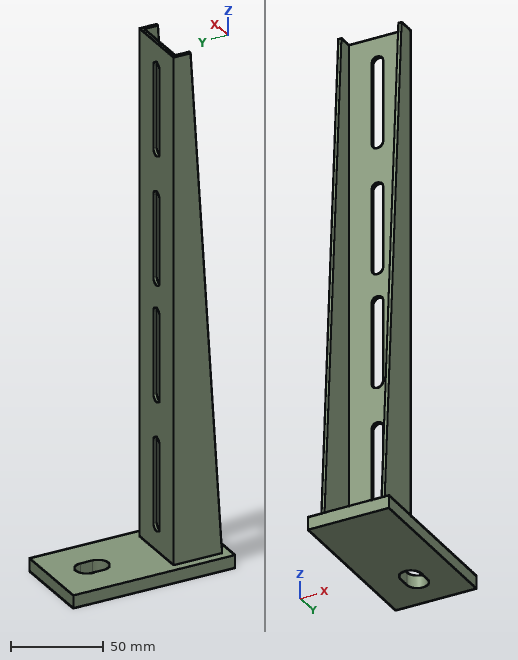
import cadquery as cq

plate_width = 50.0
plate_depth = 100.0
plate_thickness = 8.0
bolt_slot_width = 12.7
bolt_slot_length = 20.0
bolt_slot_from_back = 25.0

total_height = 318.0
channel_height = total_height - plate_thickness
channel_width = 39.0
wall = 2.0
flange_depth_bottom = 30.0
flange_depth_top = 10.5
channel_front_margin = 5.0
channel_back_y = -plate_depth / 2 + channel_front_margin + flange_depth_bottom

web_slot_width = 7.0
web_slot_length = 57.2
slot_pair_pitch = 79.0
inner_slot_pitch = 71.2


def make_base_plate():
    """Flat plate with its bottom at Z = 0 and a bolt slot along Y near the back edge."""
    plate = cq.Workplane("XY").box(
        plate_width, plate_depth, plate_thickness, centered=(True, True, False)
    )
    bolt_slot = (
        cq.Workplane("XY")
        .center(0, plate_depth / 2 - bolt_slot_from_back)
        .slot2D(bolt_slot_length, bolt_slot_width, 90)
        .extrude(plate_thickness)
    )
    return plate.cut(bolt_slot)


def make_channel_blank():
    """Tapered wedge hollowed out to leave the web and two side flanges."""
    wedge = (
        cq.Workplane("YZ")
        .moveTo(channel_back_y, plate_thickness)
        .lineTo(channel_back_y, total_height)
        .lineTo(channel_back_y - flange_depth_top, total_height)
        .lineTo(channel_back_y - flange_depth_bottom, plate_thickness)
        .close()
        .extrude(channel_width / 2, both=True)
    )
    hollow = (
        cq.Workplane("XY", origin=(0, channel_back_y - wall - flange_depth_bottom / 2, plate_thickness))
        .rect(channel_width - 2 * wall, flange_depth_bottom)
        .extrude(channel_height)
    )
    return wedge.cut(hollow)


def make_web_slots():
    """Vertical round-ended cutters that pass through the web."""
    inner = inner_slot_pitch / 2
    outer = inner + slot_pair_pitch
    middle_z = plate_thickness + channel_height / 2
    return (
        cq.Workplane("XZ", origin=(0, channel_back_y, middle_z))
        .pushPoints([(0, z) for z in (-outer, -inner, inner, outer)])
        .slot2D(web_slot_length, web_slot_width, 90)
        .extrude(wall)
    )


base_plate = make_base_plate()
channel = make_channel_blank().cut(make_web_slots())

result = cq.Compound.makeCompound([base_plate.val(), channel.val()])